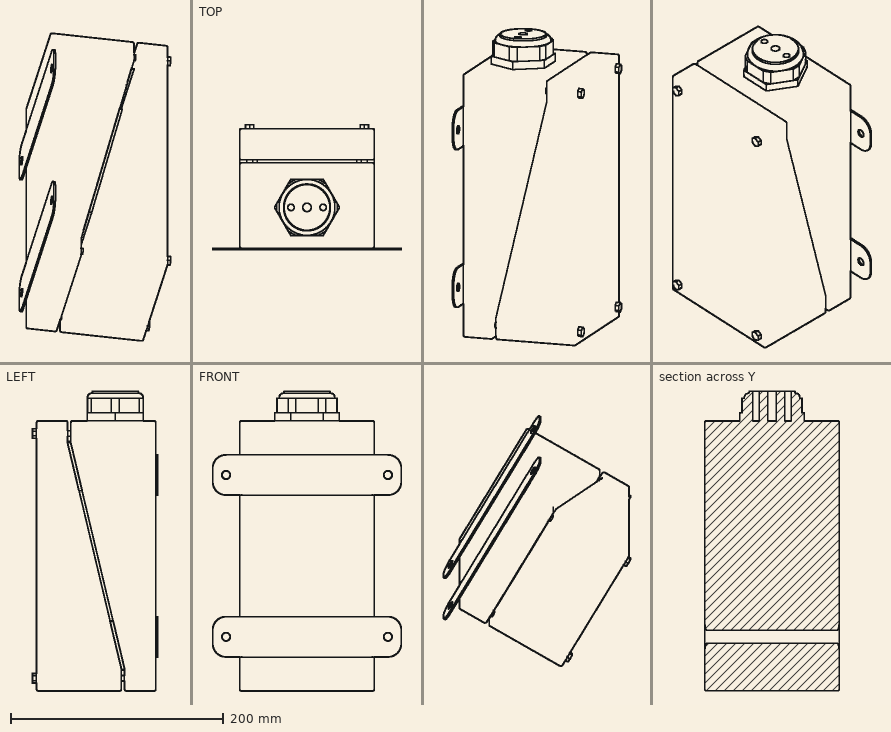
import cadquery as cq
import math

INCH = 25.4

strap_length = 7 * INCH
strap_width = 1.5 * INCH
strap_thickness = 1.52
strap_corner_radius = 0.5 * INCH
strap_hole_diameter = 7.6
strap_hole_spacing = 6 * INCH
strap_spacing = 6 * INCH

enclosure_width = 5 * INCH
enclosure_height = 254.5
enclosure_depth = 112.52
edge_radius = 2.0
gap = 2.8
gap_top_y = 83.2
gap_bottom_y = 32.6
gap_straight_length = 21.0

tab_width = 93.4
tab_thickness = 1.0
tab_end_distance = 19.5
core_width = 88.0
core_height = 123.0
spacer_overlap = 3.0

bolt_head_flats = 8.0
bolt_head_height = 3.8
bolt_shank_diameter = 5.5
bolt_side_distance = 9.5
bolt_end_distance = 12.0

gland_y = 39.8
gland_height = 27.87
gland_hex_flats = 53.0
gland_nut_flats = 52.8
gland_base_height = 7.6
gland_nut_height = 13.6
gland_nut_corner_flats = 56.5
dome_radius = 26.3
dome_shoulder_radius = 4.2
dome_rim_height = 1.8
dome_top_radius = 21.5
cable_hole_diameter = 8.0
side_cable_hole_diameter = 6.0
side_cable_hole_offset = 15.1

hexagon_sides = 6
flats_to_corners = 1 / math.cos(math.pi / hexagon_sides)
half_facet_turn = 180 / hexagon_sides

box_back_y = strap_thickness
lid_front_y = box_back_y + enclosure_depth
middle_z = enclosure_height / 2
bend_top_z = enclosure_height - gap_straight_length
bend_bottom_z = gap_straight_length


def gap_line(offset):
    """Points of the gap centre line, from bottom to top, moved along Y by offset."""
    return [
        (gap_bottom_y + offset, 0),
        (gap_bottom_y + offset, bend_bottom_z),
        (gap_top_y + offset, bend_top_z),
        (gap_top_y + offset, enclosure_height),
    ]


def shell_half(outer_y, gap_offset):
    """One half of the enclosure: a rounded block between a flat face and the gap."""
    outline = gap_line(gap_offset) + [(outer_y, enclosure_height), (outer_y, 0)]
    block = cq.Workplane("YZ").polyline(outline).close().extrude(enclosure_width / 2, both=True)
    return block.edges().fillet(edge_radius)


def gap_y(z):
    """Y of the gap centre line at height z, held constant beyond the two bends."""
    fraction = (z - bend_bottom_z) / (bend_top_z - bend_bottom_z)
    fraction = min(max(fraction, 0), 1)
    return gap_bottom_y + fraction * (gap_top_y - gap_bottom_y)


def spacer(width, bottom_z, top_z):
    """A block that follows the gap between two heights and reaches into both halves."""
    reach = gap / 2 + spacer_overlap
    outline = [
        (gap_y(bottom_z) - reach, bottom_z),
        (gap_y(bottom_z) + reach, bottom_z),
        (gap_y(top_z) + reach, top_z),
        (gap_y(top_z) - reach, top_z),
    ]
    return cq.Workplane("YZ").polyline(outline).close().extrude(width / 2, both=True)


def spacers():
    """A central core and a thin tab near each end, all joining the box to the lid."""
    core = spacer(core_width, middle_z - core_height / 2, middle_z + core_height / 2)
    bottom_tab = spacer(tab_width, tab_end_distance, tab_end_distance + tab_thickness)
    top_tab_z = enclosure_height - tab_end_distance
    top_tab = spacer(tab_width, top_tab_z - tab_thickness, top_tab_z)
    return core.union(bottom_tab).union(top_tab)


def strap(z):
    """A flat mounting strap with rounded corners and two screw holes, centred at height z."""
    plate = (
        cq.Workplane("XZ", origin=(0, 0, z))
        .rect(strap_length, strap_width)
        .extrude(-strap_thickness)
        .edges("|Y")
        .fillet(strap_corner_radius)
    )
    holes = (
        cq.Workplane("XZ", origin=(0, 0, z))
        .rarray(strap_hole_spacing, 1, 2, 1)
        .circle(strap_hole_diameter / 2)
        .extrude(-strap_thickness)
    )
    return plate.cut(holes)


def bolt(x, z):
    """A hexagon bolt, two corners along Z, whose shank runs from the lid across the gap into the box."""
    head = (
        cq.Workplane("XZ", origin=(x, lid_front_y, z))
        .transformed(rotate=(0, 0, half_facet_turn))
        .polygon(hexagon_sides, bolt_head_flats * flats_to_corners)
        .extrude(-bolt_head_height)
    )
    shank_end_y = gap_y(z) - gap / 2 - spacer_overlap
    shank = (
        cq.Workplane("XZ", origin=(x, shank_end_y, z))
        .circle(bolt_shank_diameter / 2)
        .extrude(shank_end_y - lid_front_y)
    )
    return head.union(shank)


def hexagon(flats, height, z, turn=0):
    """A hexagonal prism on the gland axis with its corners toward X before the turn."""
    return (
        cq.Workplane("XY", origin=(0, gland_y, z))
        .transformed(rotate=(0, 0, turn))
        .polygon(hexagon_sides, flats * flats_to_corners)
        .extrude(height)
    )


def gland_dome(bottom_z, top_z):
    """The cap on the nut, turned about the gland axis: a quarter-round shoulder below a conical rim."""
    rim_z = top_z - dome_rim_height
    shoulder_z = rim_z - dome_shoulder_radius
    rim_radius = dome_radius - dome_shoulder_radius
    diagonal = dome_shoulder_radius * math.cos(math.pi / 4)
    return (
        cq.Workplane("XZ", origin=(0, gland_y, 0))
        .moveTo(0, bottom_z)
        .lineTo(dome_radius, bottom_z)
        .lineTo(dome_radius, shoulder_z)
        .threePointArc((rim_radius + diagonal, shoulder_z + diagonal), (rim_radius, rim_z))
        .lineTo(dome_top_radius, top_z)
        .lineTo(0, top_z)
        .close()
        .revolve(360, (0, 0, 0), (0, 1, 0))
    )


def gland():
    """The cable gland: hexagonal base, nut with flattened corners, and cap with three cable holes."""
    base_z = enclosure_height
    nut_z = base_z + gland_base_height
    dome_z = nut_z + gland_nut_height
    top_z = base_z + gland_height
    base = hexagon(gland_hex_flats, gland_base_height, base_z)
    nut = hexagon(gland_nut_flats, gland_nut_height, nut_z)
    nut_corner_cut = hexagon(gland_nut_corner_flats, gland_nut_height, nut_z, turn=half_facet_turn)
    nut = nut.intersect(nut_corner_cut)
    dome = gland_dome(dome_z, top_z)
    body = base.union(nut).union(dome)
    top = cq.Workplane("XY", origin=(0, gland_y, top_z))
    center_hole = top.circle(cable_hole_diameter / 2).extrude(-gland_height)
    side_holes = (
        top.rarray(2 * side_cable_hole_offset, 1, 2, 1)
        .circle(side_cable_hole_diameter / 2)
        .extrude(-gland_height)
    )
    return body.cut(center_hole).cut(side_holes)


result = shell_half(box_back_y, -gap / 2).union(shell_half(lid_front_y, gap / 2))
result = result.union(spacers())
for side in (-1, 1):
    result = result.union(strap(middle_z + side * strap_spacing / 2))
    bolt_x = side * (enclosure_width / 2 - bolt_side_distance)
    for bolt_z in (bolt_end_distance, enclosure_height - bolt_end_distance):
        result = result.union(bolt(bolt_x, bolt_z))
result = result.union(gland())